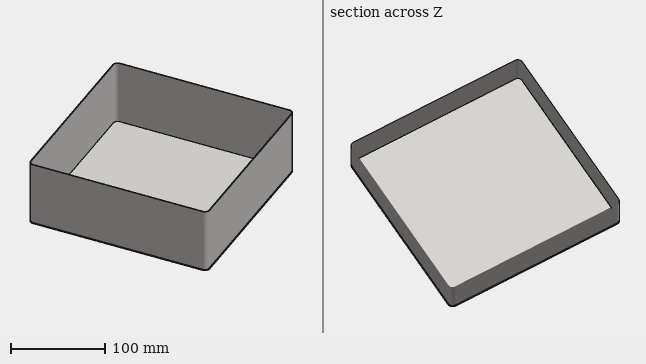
import cadquery as cq

side_length = 211.2
height = 75.6

wall = 0.8
floor_thickness = wall

outer_radius = 6.0
inner_radius = 4.9


def rounded_block(side, radius, block_height):
    """Square block standing on the XY plane with rounded vertical edges."""
    block = cq.Workplane("XY").rect(side, side).extrude(block_height)
    return block.edges("|Z").fillet(radius)


body = rounded_block(side_length, outer_radius, height)

cavity = rounded_block(side_length - 2 * wall, inner_radius, height - floor_thickness)
cavity = cavity.translate((0, 0, floor_thickness))

result = body.cut(cavity)